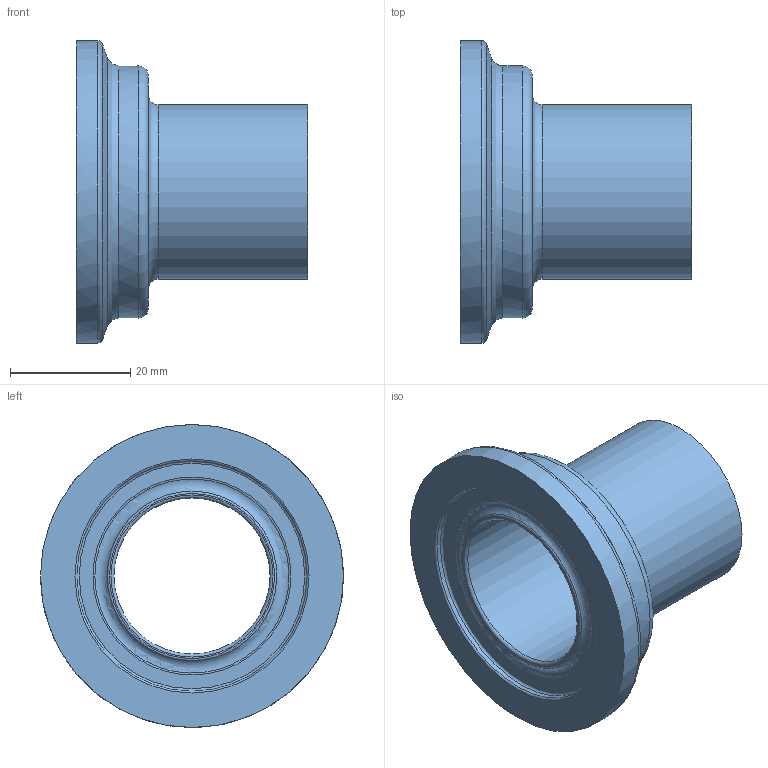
import cadquery as cq
import math


length = 38.5
bore_radius = 26.0 / 2
tube_radius = 29.0 / 2

rim_radius = 50.5 / 2
rim_slope = math.radians(20)
rim_edge_fillet = 0.85

hub_radius = 42.0 / 2
hub_start_x = 7.05
hub_end_x = 12.0
hub_root_fillet = 2.0
hub_edge_fillet = 1.65
tube_root_fillet = 1.65

recess_radius = 38.4 / 2
recess_depth = 1.5
recess_mouth_fillet = 0.3
recess_floor_fillet = 0.4

lip_setback = 0.85
lip_fillet = 0.5
groove_arc_radius = 1.75
groove_bottom_radius = 15.5
groove_bottom_x = 1.7
groove_edge_fillet = 0.8

tolerance = 0.001

slope_rise = hub_root_fillet * (1 - math.sin(rim_slope))
slope_foot_x = hub_start_x - hub_root_fillet * math.cos(rim_slope)
hub_corner_x = slope_foot_x + slope_rise * math.tan(rim_slope)
rim_back_x = hub_corner_x - (rim_radius - hub_radius) * math.tan(rim_slope)


def groove_half_width(x):
    """Half the width of the groove arc where it crosses the plane at x."""
    center_x = groove_bottom_x - groove_arc_radius
    return math.sqrt(groove_arc_radius**2 - (x - center_x) ** 2)


lip_radius = groove_bottom_radius - groove_half_width(lip_setback)
groove_edge_radius = groove_bottom_radius + groove_half_width(recess_depth)


def turned_body():
    """Revolve the sharp-cornered half section about the X axis."""
    return (
        cq.Workplane("XY")
        .moveTo(0, recess_radius)
        .lineTo(0, rim_radius)
        .lineTo(rim_back_x, rim_radius)
        .lineTo(hub_corner_x, hub_radius)
        .lineTo(hub_end_x, hub_radius)
        .lineTo(hub_end_x, tube_radius)
        .lineTo(length, tube_radius)
        .lineTo(length, bore_radius)
        .lineTo(lip_setback, bore_radius)
        .lineTo(lip_setback, lip_radius)
        .threePointArc((groove_bottom_x, groove_bottom_radius), (recess_depth, groove_edge_radius))
        .lineTo(recess_depth, recess_radius)
        .close()
        .revolve(360, (0, 0), (1, 0))
    )


def round_edge(part, x, edge_radius, fillet):
    """Fillet the circular edge of the given radius lying in the plane at x."""

    def is_target(edge):
        return abs(edge.Center().x - x) < tolerance and abs(edge.radius() - edge_radius) < tolerance

    edges = [edge for edge in part.edges("%CIRCLE").vals() if is_target(edge)]
    return part.newObject(edges).fillet(fillet)


rounded_edges = [
    (rim_back_x, rim_radius, rim_edge_fillet),
    (hub_corner_x, hub_radius, hub_root_fillet),
    (hub_end_x, hub_radius, hub_edge_fillet),
    (hub_end_x, tube_radius, tube_root_fillet),
    (0, recess_radius, recess_mouth_fillet),
    (recess_depth, recess_radius, recess_floor_fillet),
    (recess_depth, groove_edge_radius, groove_edge_fillet),
    (lip_setback, lip_radius, lip_fillet),
    (lip_setback, bore_radius, lip_fillet),
]

result = turned_body()
for edge_x, edge_radius, fillet in rounded_edges:
    result = round_edge(result, edge_x, edge_radius, fillet)